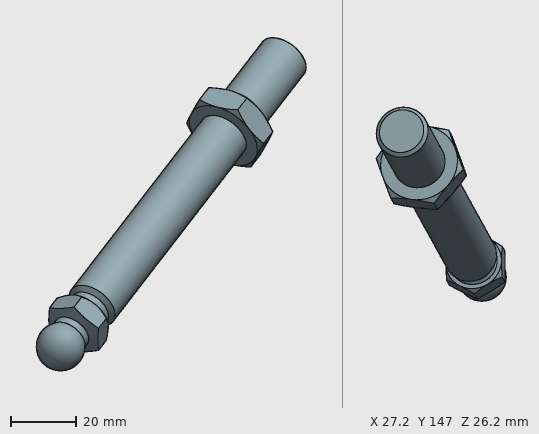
import cadquery as cq
import math

TOTAL_LENGTH = 147.0
COLLAR_FRONT = 14.4
COLLAR_BACK = 21.9
RELIEF_FRONT = 22.8
RELIEF_BACK = 25.9
SHANK_FRONT = 27.2
NUT_FRONT = 108.8
NUT_THICKNESS = 8.0

BALL_RADIUS = 7.5
NECK_RADIUS = 6.0
RELIEF_FLARE_RADIUS = 7.3
RELIEF_RADIUS = 6.5
SHANK_RADIUS = 8.1

END_BEVEL_LENGTH = 0.9
END_BEVEL_DEPTH = 1.2

COLLAR_FLATS = 17.3
COLLAR_CORNER_ANGLE = 90.0
COLLAR_FRONT_BEVEL_ANGLE = 20.0
COLLAR_BACK_BEVEL_ANGLE = 45.0

NUT_FLATS = 24.0
NUT_CORNER_ANGLE = 11.0
NUT_BEVEL_ANGLE = 30.0

ENVELOPE_CLEARANCE = 1.1


def revolve_about_y(profile):
    """Close a (radius, Y) half profile and turn it a full revolution about the Y axis."""
    return profile.close().revolve(360, (0, 0, 0), (0, 1, 0))


def beveled_hexagon(flats, corner_angle, front, back, front_cone, back_cone):
    """Hexagonal prism along Y whose corners are turned down by a cone at each end.

    Each cone is a pair: the radius of the end face and the bevel angle from that face.
    """
    corner_radius = flats / 2 / math.cos(math.radians(30))
    envelope_radius = ENVELOPE_CLEARANCE * corner_radius
    front_radius, front_angle = front_cone
    back_radius, back_angle = back_cone
    front_bevel = (envelope_radius - front_radius) * math.tan(math.radians(front_angle))
    back_bevel = (envelope_radius - back_radius) * math.tan(math.radians(back_angle))
    prism = (
        cq.Workplane("XZ", origin=(0, front, 0))
        .transformed(rotate=(0, 0, corner_angle))
        .polygon(6, 2 * corner_radius)
        .extrude(front - back)
    )
    envelope = revolve_about_y(
        cq.Workplane("XY")
        .moveTo(0, front)
        .lineTo(front_radius, front)
        .lineTo(envelope_radius, front + front_bevel)
        .lineTo(envelope_radius, back - back_bevel)
        .lineTo(back_radius, back)
        .lineTo(0, back)
    )
    return prism.intersect(envelope).solids()


def make_ball_stud():
    """Ball, neck, hexagonal collar, relief groove and long shank in one piece."""
    neck_front = BALL_RADIUS + math.sqrt(BALL_RADIUS**2 - NECK_RADIUS**2)
    turned = revolve_about_y(
        cq.Workplane("XY")
        .moveTo(0, 0)
        .threePointArc((BALL_RADIUS, BALL_RADIUS), (NECK_RADIUS, neck_front))
        .lineTo(NECK_RADIUS, COLLAR_BACK)
        .lineTo(RELIEF_FLARE_RADIUS, COLLAR_BACK)
        .lineTo(RELIEF_RADIUS, RELIEF_FRONT)
        .lineTo(RELIEF_RADIUS, RELIEF_BACK)
        .lineTo(SHANK_RADIUS, SHANK_FRONT)
        .lineTo(SHANK_RADIUS, TOTAL_LENGTH - END_BEVEL_LENGTH)
        .lineTo(SHANK_RADIUS - END_BEVEL_DEPTH, TOTAL_LENGTH)
        .lineTo(0, TOTAL_LENGTH)
    )
    collar = beveled_hexagon(
        COLLAR_FLATS,
        COLLAR_CORNER_ANGLE,
        COLLAR_FRONT,
        COLLAR_BACK,
        front_cone=(NECK_RADIUS, COLLAR_FRONT_BEVEL_ANGLE),
        back_cone=(COLLAR_FLATS / 2, COLLAR_BACK_BEVEL_ANGLE),
    )
    return turned.union(collar).solids()


def make_lock_nut():
    """Hexagonal lock nut with a plain bore that fits the shank."""
    nut_back = NUT_FRONT + NUT_THICKNESS
    cone = (NUT_FLATS / 2, NUT_BEVEL_ANGLE)
    body = beveled_hexagon(NUT_FLATS, NUT_CORNER_ANGLE, NUT_FRONT, nut_back, cone, cone)
    bore = (
        cq.Workplane("XZ", origin=(0, NUT_FRONT, 0))
        .circle(SHANK_RADIUS)
        .extrude(-NUT_THICKNESS)
    )
    return body.cut(bore).solids()


ball_stud = make_ball_stud()
lock_nut = make_lock_nut()

result = cq.Compound.makeCompound([ball_stud.val(), lock_nut.val()])